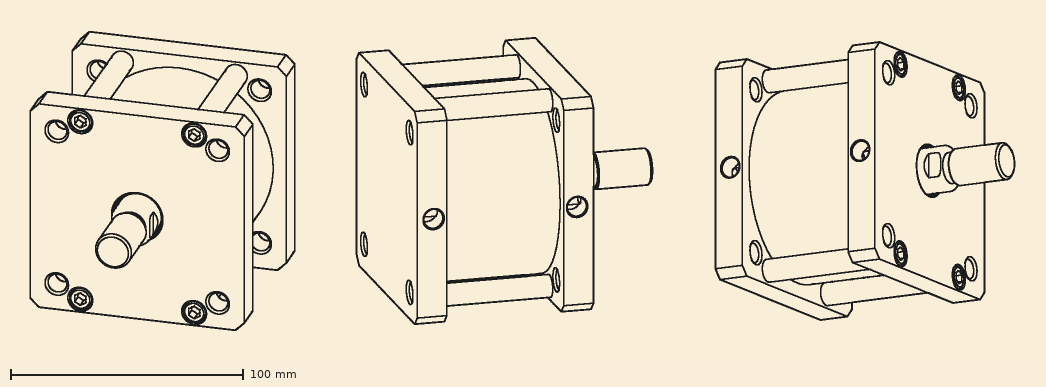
import cadquery as cq
import math

OVERALL_LENGTH = 117.0
ROD_PROJECTION = 38.0
PLATE_SIZE = 96.0
PLATE_THICKNESS = 13.3
PLATE_CORNER = 4.0

REAR_PLATE_INNER = -PLATE_THICKNESS
FRONT_PLATE_OUTER = ROD_PROJECTION - OVERALL_LENGTH
FRONT_PLATE_INNER = FRONT_PLATE_OUTER + PLATE_THICKNESS

BARREL_DIAMETER = 84.2
BARREL_BORE = 80.0

MOUNT_OFFSET = 36.0
MOUNT_HOLE = 8.4
MOUNT_CHAMFER = 1.0

BOLT_X = 25.5
BOLT_Z = 41.9
BOLT_DIAMETER = 10.0
BOLT_END_CHAMFER = 0.7
BOLT_HOLE_CHAMFER = 0.6
HEX_WIDTH = 5.0
HEX_DEPTH = 5.0
HEX_SECTOR = 60.0
DRILL_TIP_ANGLE = 118.0

SEAL_RECESS = 21.9
SEAL_RECESS_DEPTH = 1.8
SEAL_RECESS_CHAMFER = 0.6
ROD_CLEARANCE = 20.6
ROD_CLEARANCE_DEPTH = 3.5

PORT_DIAMETER = 8.5
PORT_CHAMFER = 0.5
PORT_INSET = 6.0
PORT_DEPTH = 10.5
PASSAGE_DIAMETER = 4.9
PASSAGE_X = -36.3

COLLAR_DIAMETER = 20.0
COLLAR_LENGTH = 10.2
COLLAR_FILLET = 1.6
FLAT_WIDTH = 17.0
FLAT_START = 4.3
NECK_DIAMETER = 13.5
NECK_LENGTH = 3.3
THREAD_DIAMETER = 16.0
THREAD_START_CHAMFER = 0.5
THREAD_END_CHAMFER = 1.0


def cylinder_y(diameter, start, end, x=0.0, z=0.0):
    """Cylinder along Y between two Y positions, start < end."""
    base = cq.Vector(x, start, z)
    return cq.Workplane(cq.Solid.makeCylinder(diameter / 2, end - start, base, cq.Vector(0, 1, 0)))


def cone_y(large, small, start, length, direction, x=0.0, z=0.0):
    """Cone from its large end at Y = start, pointing along +Y (1) or -Y (-1)."""
    base = cq.Vector(x, start, z)
    axis = cq.Vector(0, direction, 0)
    return cq.Workplane(cq.Solid.makeCone(large / 2, small / 2, length, base, axis))


def drill_tip_length(diameter):
    return diameter / 2 / math.tan(math.radians(DRILL_TIP_ANGLE / 2))


def four_corners(x, z):
    return [(sx * x, sz * z) for sx in (-1, 1) for sz in (-1, 1)]


def plate_blank(front):
    """Square plate with cut corners and four mounting holes chamfered at both ends."""
    back = front + PLATE_THICKNESS
    plate = (
        cq.Workplane("XY")
        .box(PLATE_SIZE, PLATE_THICKNESS, PLATE_SIZE)
        .edges("|Y")
        .chamfer(PLATE_CORNER)
        .translate((0, front + PLATE_THICKNESS / 2, 0))
    )
    rim = MOUNT_HOLE + 2 * MOUNT_CHAMFER
    for x, z in four_corners(MOUNT_OFFSET, MOUNT_OFFSET):
        plate = plate.cut(cylinder_y(MOUNT_HOLE, front, back, x, z))
        plate = plate.cut(cone_y(rim, MOUNT_HOLE, front, MOUNT_CHAMFER, 1, x, z))
        plate = plate.cut(cone_y(rim, MOUNT_HOLE, back, MOUNT_CHAMFER, -1, x, z))
    return plate


def port_cutter(inner_face, outward):
    """Chamfered port drilled in from the -X side, and the passage from it to the inner face."""
    y = inner_face + outward * PORT_INSET
    side = -PLATE_SIZE / 2
    axis = cq.Vector(1, 0, 0)
    rim_radius = PORT_DIAMETER / 2 + PORT_CHAMFER
    entry = cq.Vector(side, y, 0)
    mouth = cq.Solid.makeCone(rim_radius, PORT_DIAMETER / 2, PORT_CHAMFER, entry, axis)
    drill = cq.Solid.makeCylinder(PORT_DIAMETER / 2, PORT_DEPTH, entry, axis)
    tip_base = cq.Vector(side + PORT_DEPTH, y, 0)
    tip = cq.Solid.makeCone(PORT_DIAMETER / 2, 0, drill_tip_length(PORT_DIAMETER), tip_base, axis)
    far = y + outward * PORT_DIAMETER / 2
    passage = cylinder_y(PASSAGE_DIAMETER, min(inner_face, far), max(inner_face, far), PASSAGE_X)
    return cq.Workplane(mouth).union(cq.Workplane(drill)).union(cq.Workplane(tip)).union(passage)


def make_rear_plate():
    return plate_blank(REAR_PLATE_INNER).cut(port_cutter(REAR_PLATE_INNER, 1))


def make_front_plate():
    front = FRONT_PLATE_OUTER
    back = FRONT_PLATE_INNER
    plate = plate_blank(front).cut(port_cutter(back, -1))

    plate = plate.cut(cylinder_y(COLLAR_DIAMETER, front, back))
    plate = plate.cut(cylinder_y(SEAL_RECESS, front, front + SEAL_RECESS_DEPTH))
    plate = plate.cut(cylinder_y(ROD_CLEARANCE, front, front + ROD_CLEARANCE_DEPTH))
    recess_rim = SEAL_RECESS + 2 * SEAL_RECESS_CHAMFER
    plate = plate.cut(cone_y(recess_rim, SEAL_RECESS, front, SEAL_RECESS_CHAMFER, 1))

    bolt_rim = BOLT_DIAMETER + 2 * BOLT_HOLE_CHAMFER
    for x, z in four_corners(BOLT_X, BOLT_Z):
        plate = plate.cut(cylinder_y(BOLT_DIAMETER, front, back, x, z))
        plate = plate.cut(cone_y(bolt_rim, BOLT_DIAMETER, front, BOLT_HOLE_CHAMFER, 1, x, z))
    return plate


def make_barrel():
    barrel = cylinder_y(BARREL_DIAMETER, FRONT_PLATE_INNER, REAR_PLATE_INNER)
    return barrel.cut(cylinder_y(BARREL_BORE, FRONT_PLATE_INNER, REAR_PLATE_INNER))


def make_tie_bolt(x, z):
    """Plain bolt with a chamfered end and a hexagon socket that ends in a drill tip."""
    bolt = (
        cylinder_y(BOLT_DIAMETER, FRONT_PLATE_OUTER, REAR_PLATE_INNER)
        .faces("<Y")
        .chamfer(BOLT_END_CHAMFER)
    )
    hex_corners = HEX_WIDTH / math.cos(math.radians(HEX_SECTOR / 2))
    tip_length = drill_tip_length(hex_corners)
    tip_start = FRONT_PLATE_OUTER + HEX_DEPTH
    tip_end = tip_start + tip_length
    drill = cylinder_y(hex_corners, FRONT_PLATE_OUTER, tip_start)
    drill = drill.union(cone_y(hex_corners, 0, tip_start, tip_length, 1))
    hexagon = (
        cq.Workplane("XZ", origin=(0, tip_end, 0))
        .transformed(rotate=(0, 0, HEX_SECTOR / 2))
        .polygon(6, hex_corners)
        .extrude(HEX_DEPTH + tip_length)
    )
    return bolt.cut(hexagon.intersect(drill)).translate((x, 0, z))


def make_rod():
    """Turned rod from the rear plate to its tip, with a flatted collar, a neck and a plain thread."""
    tip = -OVERALL_LENGTH
    collar_end = FRONT_PLATE_OUTER - COLLAR_LENGTH
    thread_start = collar_end - NECK_LENGTH
    collar_radius = COLLAR_DIAMETER / 2
    flat_run_out = (COLLAR_DIAMETER - FLAT_WIDTH) / 2

    rod = (
        cylinder_y(COLLAR_DIAMETER, collar_end, REAR_PLATE_INNER)
        .faces("<Y")
        .edges()
        .fillet(COLLAR_FILLET)
    )
    neck = cylinder_y(NECK_DIAMETER, thread_start, collar_end)
    thread = (
        cylinder_y(THREAD_DIAMETER, tip, thread_start)
        .faces(">Y")
        .chamfer(THREAD_START_CHAMFER)
        .faces("<Y")
        .chamfer(THREAD_END_CHAMFER)
    )

    flat_end = FRONT_PLATE_OUTER - FLAT_START
    for side in (-1, 1):
        flat = (
            cq.Workplane("XY")
            .moveTo(side * FLAT_WIDTH / 2, collar_end)
            .lineTo(side * FLAT_WIDTH / 2, flat_end)
            .lineTo(side * collar_radius, flat_end + flat_run_out)
            .lineTo(side * collar_radius, collar_end)
            .close()
            .extrude(collar_radius, both=True)
        )
        rod = rod.cut(flat)
    return rod.union(neck).union(thread)


rear_plate = make_rear_plate()
front_plate = make_front_plate()
barrel = make_barrel()
rod = make_rod()
tie_bolts = [make_tie_bolt(x, z) for x, z in four_corners(BOLT_X, BOLT_Z)]

result = cq.Compound.makeCompound(
    [
        rear_plate.val(),
        front_plate.val(),
        barrel.val(),
        rod.val(),
        *[bolt.val() for bolt in tie_bolts],
    ]
)